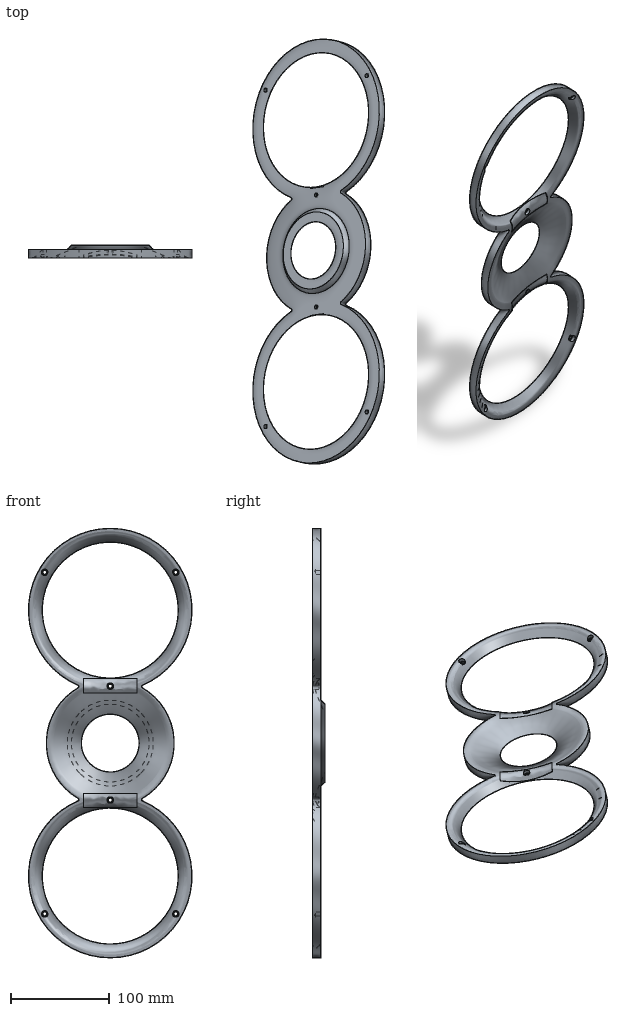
import cadquery as cq
import math

overall_height = 434.0
ring_outer_radius = 82.65
ring_bore_radius = 68.5
ring_mouth_radius = 76.8
ring_lip_round = 6.5
disc_outer_radius = 64.5
disc_bore_radius = 29.0
disc_mouth_radius = 60.0
disc_lip_round = 14.5
plate_thickness = 8.5
boss_back_radius = 39.25
boss_base_radius = 43.5
total_depth = 13.0
neck_fillet = 1.5

bridge_inner_z = 50.8
bridge_outer_z = 65.0
bridge_half_width = 27.0
bridge_middle_crest_depth = 3.25
bridge_end_inner_depth = 1.5
bridge_end_crest_depth = 0.5
bridge_end_outer_depth = 3.0

screw_diameter = 4.0
screw_head_diameter = 6.5
ring_screw_head_depth = 3.5
bridge_screw_head_depth = 6.0
ring_screw_circle_radius = 76.5
ring_screw_angle = math.radians(30)
bridge_screw_z = 57.5

ring_center_z = overall_height / 2 - ring_outer_radius
sides = (1, -1)

disc_cone_slope = total_depth / (disc_mouth_radius - disc_bore_radius)
ring_cone_slope = plate_thickness / (ring_mouth_radius - ring_bore_radius)
bridge_middle_depths = (
    disc_cone_slope * (disc_mouth_radius - bridge_inner_z),
    bridge_middle_crest_depth,
    ring_cone_slope * (ring_mouth_radius - (ring_center_z - bridge_outer_z)),
)
bridge_end_depths = (bridge_end_inner_depth, bridge_end_crest_depth, bridge_end_outer_depth)


def cylinder(x, z, radius, depth):
    """Cylinder running from the front face towards +Y."""
    axis = cq.Vector(0, 1, 0)
    return cq.Workplane(cq.Solid.makeCylinder(radius, depth, cq.Vector(x, 0, z), axis))


def cone(z, front_radius, back_radius, start, depth):
    """Cone around a Y axis at height z, starting at y = start."""
    axis = cq.Vector(0, 1, 0)
    return cq.Workplane(cq.Solid.makeCone(front_radius, back_radius, depth, cq.Vector(0, start, z), axis))


def funnel(z, mouth_radius, bore_radius, depth, lip_round):
    """Conical opening whose front lip is rounded tangent to the face and the cone."""
    slope = math.atan2(depth, mouth_radius - bore_radius)
    setback = lip_round * math.tan(slope / 2)
    face_radius = mouth_radius + setback
    cone_radius = mouth_radius - setback * math.cos(slope)
    cone_depth = setback * math.sin(slope)
    arc_mid_radius = face_radius - lip_round * math.sin(slope / 2)
    arc_mid_depth = lip_round * (1 - math.cos(slope / 2))
    profile = (
        cq.Workplane("XY")
        .moveTo(0, 0)
        .lineTo(face_radius, 0)
        .threePointArc((arc_mid_radius, arc_mid_depth), (cone_radius, cone_depth))
        .lineTo(bore_radius, depth)
        .lineTo(0, depth)
        .close()
    )
    return profile.revolve(360, (0, 0, 0), (0, 1, 0)).translate((0, 0, z))


def bridge_section(side, x, inner_depth, crest_depth, outer_depth):
    """Wire across a bridge at x, with a crowned front edge."""
    middle_z = (bridge_inner_z + bridge_outer_z) / 2
    outline = (
        cq.Workplane("YZ", origin=(x, 0, 0))
        .moveTo(plate_thickness, side * bridge_inner_z)
        .lineTo(inner_depth, side * bridge_inner_z)
        .threePointArc((crest_depth, side * middle_z), (outer_depth, side * bridge_outer_z))
        .lineTo(plate_thickness, side * bridge_outer_z)
        .close()
    )
    return outline.val()


def bridge(side):
    """Saddle joining the central disc to one ring, lowest halfway along X."""
    middle = bridge_section(side, 0, *bridge_middle_depths)
    ends = [bridge_section(side, sign * bridge_half_width, *bridge_end_depths) for sign in sides]
    return cq.Workplane(cq.Solid.makeLoft([ends[0], middle, ends[1]]))


def bridge_seat(side):
    """Block of the plate that a bridge replaces."""
    width = 2 * bridge_half_width
    height = bridge_outer_z - bridge_inner_z
    center_z = side * (bridge_inner_z + bridge_outer_z) / 2
    seat = cq.Workplane("XY").box(width, plate_thickness, height)
    return seat.translate((0, plate_thickness / 2, center_z))


def screw_hole(x, z, head_depth):
    """Counterbored through hole."""
    head = cylinder(x, z, screw_head_diameter / 2, head_depth)
    return head.union(cylinder(x, z, screw_diameter / 2, plate_thickness))


plate = cylinder(0, 0, disc_outer_radius, plate_thickness)
for side in sides:
    plate = plate.union(cylinder(0, side * ring_center_z, ring_outer_radius, plate_thickness))
plate = plate.edges("|Y").edges(
    cq.selectors.BoxSelector(
        (-disc_outer_radius, -4.5, -disc_outer_radius),
        (disc_outer_radius, total_depth, disc_outer_radius),
    )
).fillet(neck_fillet)

boss_height = total_depth - plate_thickness
result = plate.union(cone(0, boss_base_radius, boss_back_radius, plate_thickness, boss_height))

result = result.cut(funnel(0, disc_mouth_radius, disc_bore_radius, total_depth, disc_lip_round))
for side in sides:
    opening = funnel(
        side * ring_center_z, ring_mouth_radius, ring_bore_radius, plate_thickness, ring_lip_round
    )
    result = result.cut(opening)

ring_screw_x = ring_screw_circle_radius * math.cos(ring_screw_angle)
ring_screw_z = ring_center_z + ring_screw_circle_radius * math.sin(ring_screw_angle)
for side in sides:
    result = result.cut(bridge_seat(side)).union(bridge(side))
    result = result.cut(screw_hole(0, side * bridge_screw_z, bridge_screw_head_depth))
    for x in (-ring_screw_x, ring_screw_x):
        result = result.cut(screw_hole(x, side * ring_screw_z, ring_screw_head_depth))